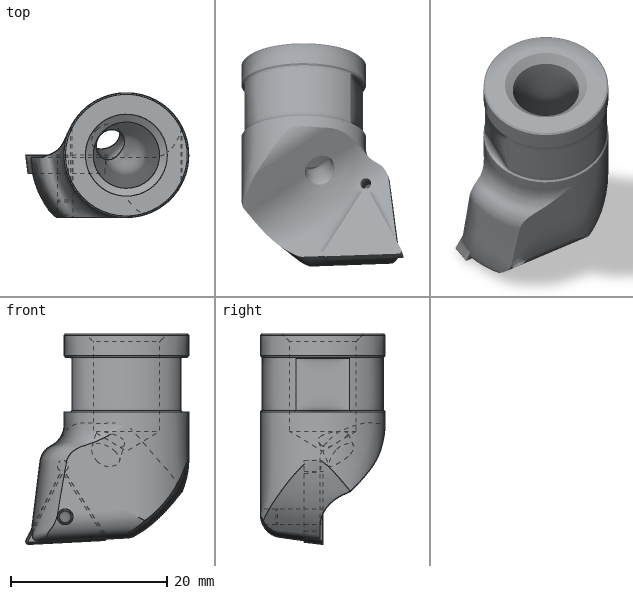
import cadquery as cq
import math


SHANK_RADIUS = 8.0
COLLAR_HEIGHT = 3.0
SHOULDER_Z = -10.0
EDGE_BREAK = 0.2
NECK_RADIUS = SHANK_RADIUS - EDGE_BREAK
NECK_FLAT_X = 7.0
FLAT_BREAK = 0.15

BORE_RADIUS = 4.25
BORE_CHAMFER = 1.0
BORE_DEPTH = 12.5
DRILL_TIP_ANGLE = 118.0

COOLANT_RADIUS = 1.95
COOLANT_START = (-2.05, 1.4, -13.4)
COOLANT_DIRECTION = (-0.3, 0.45, -1.0)
COOLANT_LENGTH = 10.0
COOLANT_LEAD = 1.0

FLARE_START_Z = -11.7
FLARE_MIDDLE_RADIUS = 9.6
FLARE_MIDDLE_Z = -14.3
FLARE_END_RADIUS = 11.1
FLARE_END_Z = -16.5
FLANK_ANGLE = 7.0
FLANK_EDGE_RADIUS = 0.6

CLEARANCE_ANGLE = 7.0
LEAD_ANGLE = 3.0
BOTTOM_Z = -26.22
HEEL_RADIUS = 13.85
HEEL_X = -5.6
HEEL_Z = -13.8
HEEL_BLEND_RADIUS = 2.0
BOTTOM_FILLET_RADIUS = 2.9

RELIEF_SLOPE = 30.0
RELIEF_TILT = 30.0
RIM_Y = -0.33
RELIEF_ROOT_RADIUS = 6.0
RELIEF_FACE_Y = 6.55
RELIEF_FACE_HEIGHT = -12.19
RELIEF_CREST_RADIUS = 3.0

INSERT_INSCRIBED_RADIUS = 6.35 / 2
INSERT_THICKNESS = 2.38
INSERT_NOSE_RADIUS = 0.4
INSERT_LEFT_X = -12.9
INSERT_LOW_Z = -27.0
CORNER_RELIEF_RADIUS = 0.7
SCREW_RADIUS = 1.0
SCREW_RISE = 0.12
SCREW_LENGTH = 6.0
SCREW_CHAMFER = 0.23

FAR = 40.0


def sin(degrees):
    return math.sin(math.radians(degrees))


def cos(degrees):
    return math.cos(math.radians(degrees))


def tan(degrees):
    return math.tan(math.radians(degrees))


NOSE_TO_CENTRE = 2 * (INSERT_INSCRIBED_RADIUS - INSERT_NOSE_RADIUS)
INSERT_X = INSERT_LEFT_X + INSERT_NOSE_RADIUS + NOSE_TO_CENTRE * cos(LEAD_ANGLE + 30)
INSERT_Z = INSERT_LOW_Z + INSERT_NOSE_RADIUS + NOSE_TO_CENTRE * sin(LEAD_ANGLE + 30)


def make_shank():
    """Collar, neck and the plain cylinder that runs down into the head."""
    neck_top = -COLLAR_HEIGHT
    shank = (
        cq.Workplane("XZ")
        .moveTo(0, 0)
        .lineTo(SHANK_RADIUS - EDGE_BREAK, 0)
        .lineTo(SHANK_RADIUS, -EDGE_BREAK)
        .lineTo(SHANK_RADIUS, neck_top + EDGE_BREAK)
        .lineTo(NECK_RADIUS, neck_top)
        .lineTo(NECK_RADIUS, SHOULDER_Z + EDGE_BREAK)
        .lineTo(SHANK_RADIUS, SHOULDER_Z)
        .lineTo(SHANK_RADIUS, -FAR)
        .lineTo(0, -FAR)
        .close()
        .revolve(360, (0, 0, 0), (0, 1, 0))
    )
    flat_height = -COLLAR_HEIGHT - SHOULDER_Z
    flat_middle_z = (-COLLAR_HEIGHT + SHOULDER_Z) / 2
    for side in (-1, 1):
        inner_edges = "|Y and >X" if side < 0 else "|Y and <X"
        flat = (
            cq.Workplane("XY")
            .box(SHANK_RADIUS, 2 * SHANK_RADIUS, flat_height)
            .edges(inner_edges)
            .chamfer(FLAT_BREAK)
            .translate((side * (NECK_FLAT_X + SHANK_RADIUS / 2), 0, flat_middle_z))
        )
        shank = shank.cut(flat)
    return shank


def make_flare():
    """Turned flare on the -X side, flat at Y = -SHANK_RADIUS."""
    run = FLARE_MIDDLE_RADIUS - SHANK_RADIUS
    drop = FLARE_START_Z - FLARE_MIDDLE_Z
    hollow_radius = (run**2 + drop**2) / (2 * run)
    half_turn = math.degrees(math.atan2(run, drop))
    hollow_middle = (
        SHANK_RADIUS + hollow_radius * (1 - cos(half_turn)),
        FLARE_START_Z - hollow_radius * sin(half_turn),
    )
    flank_radius = FLARE_END_RADIUS + (FLARE_END_Z + FAR) * tan(FLANK_ANGLE)
    turned = (
        cq.Workplane("XZ")
        .moveTo(SHANK_RADIUS, FLARE_START_Z)
        .threePointArc(hollow_middle, (FLARE_MIDDLE_RADIUS, FLARE_MIDDLE_Z))
        .tangentArcPoint((FLARE_END_RADIUS, FLARE_END_Z), relative=False)
        .lineTo(flank_radius, -FAR)
        .lineTo(0, -FAR)
        .lineTo(0, FLARE_START_Z)
        .close()
        .revolve(360, (0, 0, 0), (0, 1, 0))
    )
    window = cq.Workplane("XY").box(FAR, 2 * SHANK_RADIUS, 2 * FAR).translate((-FAR / 2, 0, 0))
    return turned.intersect(window)


def make_underside_envelope():
    """Room left by the bottom and the round heel, narrowing towards -Y by the clearance angle."""
    back_y = 2 * SHANK_RADIUS
    grow = back_y * tan(CLEARANCE_ANGLE)
    radius = HEEL_RADIUS + grow
    base_z = BOTTOM_Z - grow / cos(LEAD_ANGLE)
    slope = tan(LEAD_ANGLE)
    line_distance = (HEEL_Z - base_z - slope * HEEL_X) * cos(LEAD_ANGLE)
    meet_angle = LEAD_ANGLE - math.degrees(math.asin(line_distance / radius))
    meet = (HEEL_X + radius * cos(meet_angle), HEEL_Z + radius * sin(meet_angle))
    middle = (HEEL_X + radius * cos(meet_angle / 2), HEEL_Z + radius * sin(meet_angle / 2))
    envelope = (
        cq.Workplane("XZ", origin=(0, back_y, 0))
        .moveTo(-FAR, base_z - FAR * slope)
        .lineTo(*meet)
        .threePointArc(middle, (HEEL_X + radius, HEEL_Z))
        .lineTo(HEEL_X + radius, FAR)
        .lineTo(-FAR, FAR)
        .close()
        .extrude(2 * back_y, taper=CLEARANCE_ANGLE)
    )
    heel_corner = cq.selectors.NearestToPointSelector((0, 0, BOTTOM_Z))
    return envelope.edges(heel_corner).fillet(HEEL_BLEND_RADIUS)


def make_bottom_corner():
    """Cutter that rounds the corner between the -Y face and the bottom."""
    r = BOTTOM_FILLET_RADIUS
    corner_z = (BOTTOM_Z + SHANK_RADIUS * tan(CLEARANCE_ANGLE)) * cos(LEAD_ANGLE)
    turn = 90 - CLEARANCE_ANGLE
    tangent_length = r * tan(turn / 2)
    start = (-SHANK_RADIUS, corner_z + tangent_length)
    middle = (start[0] + r * (1 - cos(turn / 2)), start[1] - r * sin(turn / 2))
    end = (start[0] + r * (1 - cos(turn)), start[1] - r * sin(turn))
    plane = cq.Plane(origin=(0, 0, 0), xDir=(0, 1, 0), normal=(cos(LEAD_ANGLE), 0, sin(LEAD_ANGLE)))
    return (
        cq.Workplane(plane)
        .moveTo(*start)
        .threePointArc(middle, end)
        .lineTo(end[0], end[1] - r)
        .lineTo(start[0] - r, end[1] - r)
        .lineTo(start[0] - r, start[1])
        .close()
        .extrude(FAR, both=True)
    )


def make_relief():
    """Cutter below the sloping relief face, with its concave root and its rounded crest."""
    root, crest = RELIEF_ROOT_RADIUS, RELIEF_CREST_RADIUS
    tilt = RELIEF_TILT
    turn_middle = (90 + tilt) / 2
    root_y = RIM_Y + root * (1 - sin(tilt))
    root_height = RELIEF_FACE_HEIGHT - (RELIEF_FACE_Y - root_y) * tan(tilt)
    root_centre = (RIM_Y + root, root_height - root * cos(tilt))
    root_middle = (root_centre[0] - root * sin(turn_middle), root_centre[1] + root * cos(turn_middle))
    crest_centre = (RELIEF_FACE_Y - crest * sin(tilt), RELIEF_FACE_HEIGHT + crest * cos(tilt))
    crest_middle = (crest_centre[0] + crest * sin(turn_middle), crest_centre[1] - crest * cos(turn_middle))
    plane = cq.Plane(
        origin=(0, 0, 0), xDir=(0, 1, 0), normal=(cos(RELIEF_SLOPE), 0, -sin(RELIEF_SLOPE))
    )
    return (
        cq.Workplane(plane)
        .moveTo(RIM_Y, -FAR)
        .lineTo(RIM_Y, root_centre[1])
        .threePointArc(root_middle, (root_y, root_height))
        .lineTo(RELIEF_FACE_Y, RELIEF_FACE_HEIGHT)
        .threePointArc(crest_middle, (crest_centre[0] + crest, crest_centre[1]))
        .lineTo(FAR, crest_centre[1])
        .lineTo(FAR, -FAR)
        .close()
        .extrude(FAR, both=True)
    )


def make_bore():
    """Chamfered bore with a drill-point floor."""
    tip_depth = BORE_RADIUS / tan(DRILL_TIP_ANGLE / 2)
    return (
        cq.Workplane("XZ")
        .moveTo(0, 0)
        .lineTo(BORE_RADIUS + BORE_CHAMFER, 0)
        .lineTo(BORE_RADIUS, -BORE_CHAMFER)
        .lineTo(BORE_RADIUS, -BORE_DEPTH)
        .lineTo(0, -BORE_DEPTH - tip_depth)
        .close()
        .revolve(360, (0, 0, 0), (0, 1, 0))
    )


def make_coolant_hole():
    """Slanted hole, started a little above the bore floor so that it opens fully."""
    direction = cq.Vector(*COOLANT_DIRECTION).normalized()
    start = cq.Vector(*COOLANT_START) - direction * COOLANT_LEAD
    return cq.Workplane(cq.Solid.makeCylinder(COOLANT_RADIUS, COOLANT_LENGTH, start, direction))


def make_insert_blank():
    """Rounded triangle at Y = 0 whose sides draw in towards -Y by the clearance angle."""
    corner_radius = 2 * INSERT_INSCRIBED_RADIUS
    corners = [
        (corner_radius * cos(LEAD_ANGLE + angle), corner_radius * sin(LEAD_ANGLE + angle))
        for angle in (-30, 90, 210)
    ]
    outline = cq.Sketch().polygon(corners + corners[:1]).vertices().fillet(INSERT_NOSE_RADIUS)
    return (
        cq.Workplane("XZ", origin=(INSERT_X, 0, INSERT_Z))
        .placeSketch(outline)
        .extrude(INSERT_THICKNESS, taper=CLEARANCE_ANGLE)
    )


def make_insert_pocket():
    """The insert's room, open towards +Y and eased at the upper corner."""
    blank = make_insert_blank()
    opening = blank.faces(">Y").wires().toPending().workplane().extrude(SHANK_RADIUS, combine=False)
    apex_z = INSERT_Z + NOSE_TO_CENTRE * cos(LEAD_ANGLE) + INSERT_NOSE_RADIUS
    apex_x = INSERT_X - NOSE_TO_CENTRE * sin(LEAD_ANGLE)
    corner_relief = (
        cq.Workplane("XZ", origin=(apex_x, SHANK_RADIUS, apex_z + CORNER_RELIEF_RADIUS))
        .circle(CORNER_RELIEF_RADIUS)
        .extrude(SHANK_RADIUS + INSERT_THICKNESS)
    )
    return blank.union(opening).union(corner_relief)


def make_screw_cylinder(length):
    """Cylinder along -Y from the insert's top face, set slightly above the insert centre."""
    axis_start = (INSERT_X, 0, INSERT_Z + SCREW_RISE)
    return cq.Workplane("XZ", origin=axis_start).circle(SCREW_RADIUS).extrude(length)


def make_holder():
    """Shank and head with the relief, the bore, the insert pocket and the screw hole."""
    head = make_shank().union(make_flare())
    head = head.intersect(make_underside_envelope())
    lowest_flank_radius = FLARE_END_RADIUS + (FLARE_END_Z - BOTTOM_Z) * tan(FLANK_ANGLE)
    flank_bottom_z = BOTTOM_Z - lowest_flank_radius * tan(LEAD_ANGLE)
    flank_edge = cq.selectors.NearestToPointSelector((-lowest_flank_radius, 0, flank_bottom_z))
    head = head.edges(flank_edge).fillet(FLANK_EDGE_RADIUS)
    head = head.cut(make_bottom_corner()).cut(make_relief())
    return (
        head.cut(make_bore())
        .cut(make_coolant_hole())
        .cut(make_insert_pocket())
        .cut(make_screw_cylinder(FAR))
    )


def make_insert():
    """Triangular insert with the hole its screw fills."""
    return make_insert_blank().cut(make_screw_cylinder(INSERT_THICKNESS))


def make_screw():
    """Screw flush with the insert's top face, its chamfered end recessed in the hole."""
    return make_screw_cylinder(SCREW_LENGTH).faces("<Y").chamfer(SCREW_CHAMFER)


holder = make_holder()
insert = make_insert()
screw = make_screw()
result = cq.Compound.makeCompound([holder.val(), insert.val(), screw.val()])